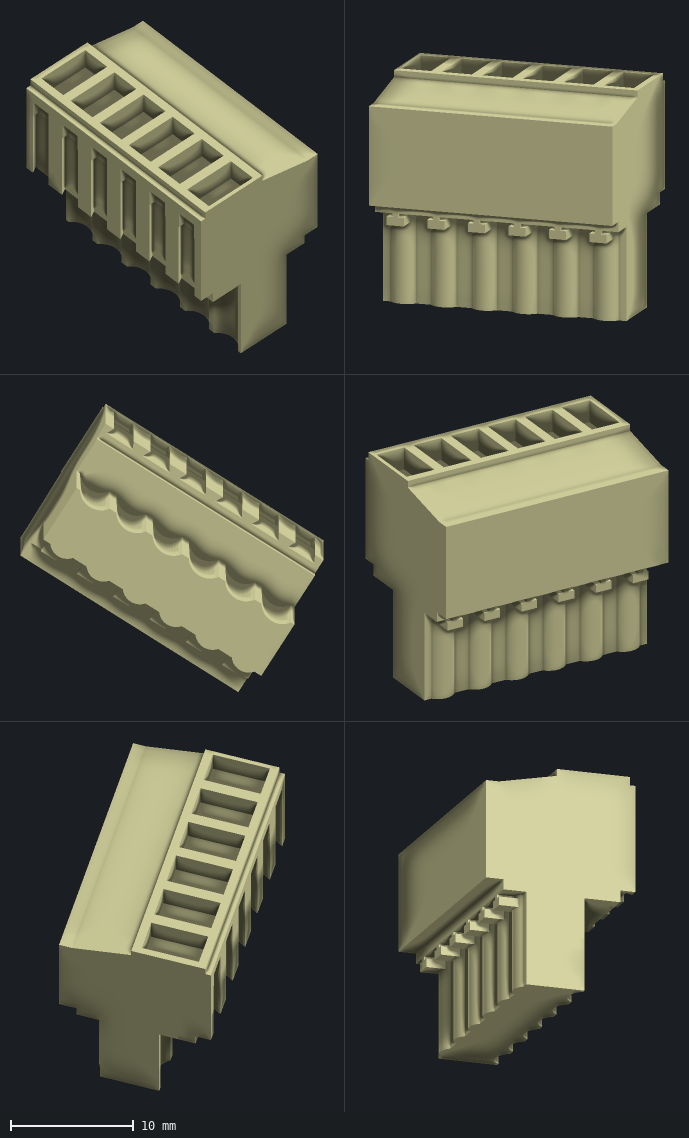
import cadquery as cq

LENGTH = 21.0
DEPTH = 12.9
HEIGHT = 18.7

POLE_COUNT = 6
PITCH = LENGTH / POLE_COUNT

LIP_DEPTH = 0.46
LIP_Z = 17.98
RAISED_BACK_Y = 6.76
SLOPE_TOP_Z = 18.1
SLOPE_BACK_Y = 11.8
BACK_TOP_Z = 17.07
BACK_BOTTOM_Z = 8.75
BACK_STEP_Y = 11.4
FRONT_BOTTOM_Z = 8.9
FRONT_STEP_Y = 1.3
NECK_TOP_Z = 7.9
NECK_FRONT_Y = 4.39
NECK_BACK_Y = 9.43

GROOVE_WIDTH = 2.85
GROOVE_DEPTH = 0.75
LOBE_WIDTH = 2.18
LOBE_HEIGHT = 0.52

POCKET_WIDTH = 2.62
POCKET_FRONT_Y = 1.18
POCKET_BACK_Y = 6.03
POCKET_OFFSET_X = 0.1
POCKET_DEPTH = 1.97
CONTACT_FLOOR = 0.55
CONTACT_BOTTOM_Z = FRONT_BOTTOM_Z + CONTACT_FLOOR
CONTACT_TOP_Z = HEIGHT - POCKET_DEPTH

WINDOW_WIDTH = 1.85
WINDOW_DEPTH = 0.57
WINDOW_TOP_Z = 16.97
SLOT_TOP_Z = 15.4
SLOT_MOUTH_WIDTH = 1.9
SLOT_FLOOR_WIDTH = 2.58
SLOT_DEPTH = 0.63

TAB_STEM_WIDTH = 0.5
TAB_HEAD_WIDTH = 1.47
TAB_HEAD_TOP_Z = 7.6
TAB_BOTTOM_Z = 6.87


def box(x_min, x_max, y_min, y_max, z_min, z_max):
    """Axis-aligned block between the given limits."""
    return cq.Workplane("XY").box(
        x_max - x_min, y_max - y_min, z_max - z_min, centered=False
    ).translate((x_min, y_min, z_min))


def centered_box(x_center, width, y_min, y_max, z_min, z_max):
    """Axis-aligned block of a given width about x_center."""
    return box(x_center - width / 2, x_center + width / 2, y_min, y_max, z_min, z_max)


def round_segment(x_center, width, y_base, rise):
    """Upright circular segment as tall as the neck, bulging from y_base toward +Y."""
    return (
        cq.Workplane("XY")
        .moveTo(x_center - width / 2, y_base)
        .threePointArc((x_center, y_base + rise), (x_center + width / 2, y_base))
        .close()
        .extrude(NECK_TOP_Z)
    )


def shell_block():
    """Side profile of the housing, extruded along the row of poles."""
    profile = [
        (NECK_FRONT_Y, 0),
        (NECK_FRONT_Y, NECK_TOP_Z),
        (FRONT_STEP_Y, NECK_TOP_Z),
        (FRONT_STEP_Y, FRONT_BOTTOM_Z),
        (0, FRONT_BOTTOM_Z),
        (0, LIP_Z),
        (LIP_DEPTH, LIP_Z),
        (LIP_DEPTH, HEIGHT),
        (RAISED_BACK_Y, HEIGHT),
        (RAISED_BACK_Y, SLOPE_TOP_Z),
        (SLOPE_BACK_Y, BACK_TOP_Z),
        (DEPTH, BACK_TOP_Z),
        (DEPTH, BACK_BOTTOM_Z),
        (BACK_STEP_Y, BACK_BOTTOM_Z),
        (BACK_STEP_Y, NECK_TOP_Z),
        (NECK_BACK_Y, NECK_TOP_Z),
        (NECK_BACK_Y, 0),
    ]
    return cq.Workplane("YZ").polyline(profile).close().extrude(LENGTH)


def front_slot(x_center):
    """Dovetail slot, open at the bottom, and the straight window above it."""
    dovetail = (
        cq.Workplane("XY")
        .workplane(offset=FRONT_BOTTOM_Z)
        .polyline([
            (x_center - SLOT_MOUTH_WIDTH / 2, 0),
            (x_center + SLOT_MOUTH_WIDTH / 2, 0),
            (x_center + SLOT_FLOOR_WIDTH / 2, SLOT_DEPTH),
            (x_center - SLOT_FLOOR_WIDTH / 2, SLOT_DEPTH),
        ])
        .close()
        .extrude(SLOT_TOP_Z - FRONT_BOTTOM_Z)
    )
    window = centered_box(x_center, WINDOW_WIDTH, 0, WINDOW_DEPTH, SLOT_TOP_Z, WINDOW_TOP_Z)
    return dovetail.union(window)


def back_tab(x_center):
    """T-shaped tab hanging from the back step and joined to the lobe."""
    stem = centered_box(x_center, TAB_STEM_WIDTH, NECK_BACK_Y, BACK_STEP_Y, TAB_BOTTOM_Z, NECK_TOP_Z)
    head = centered_box(x_center, TAB_HEAD_WIDTH, NECK_BACK_Y, BACK_STEP_Y, TAB_BOTTOM_Z, TAB_HEAD_TOP_Z)
    return stem.union(head)


def pocket_column(x_center, z_min, z_max):
    """Block with the plan of a wire pocket."""
    return centered_box(
        x_center + POCKET_OFFSET_X, POCKET_WIDTH, POCKET_FRONT_Y, POCKET_BACK_Y, z_min, z_max
    )


def make_housing(pole_centers):
    """Plug housing with a groove, lobe, tab, slot and pocket at every pole."""
    housing = shell_block()
    for x in pole_centers:
        housing = housing.union(round_segment(x, LOBE_WIDTH, NECK_BACK_Y, LOBE_HEIGHT))
        housing = housing.union(back_tab(x))
        housing = housing.cut(round_segment(x, GROOVE_WIDTH, NECK_FRONT_Y, GROOVE_DEPTH))
        housing = housing.cut(front_slot(x))
        housing = housing.cut(pocket_column(x, CONTACT_BOTTOM_Z, HEIGHT))
    return housing


def make_contact(x_center):
    """Contact block whose top is the floor of a wire pocket."""
    return pocket_column(x_center, CONTACT_BOTTOM_Z, CONTACT_TOP_Z)


pole_centers = [(i + 0.5) * PITCH for i in range(POLE_COUNT)]
housing = make_housing(pole_centers)
contacts = [make_contact(x) for x in pole_centers]

result = cq.Compound.makeCompound([housing.val()] + [contact.val() for contact in contacts])